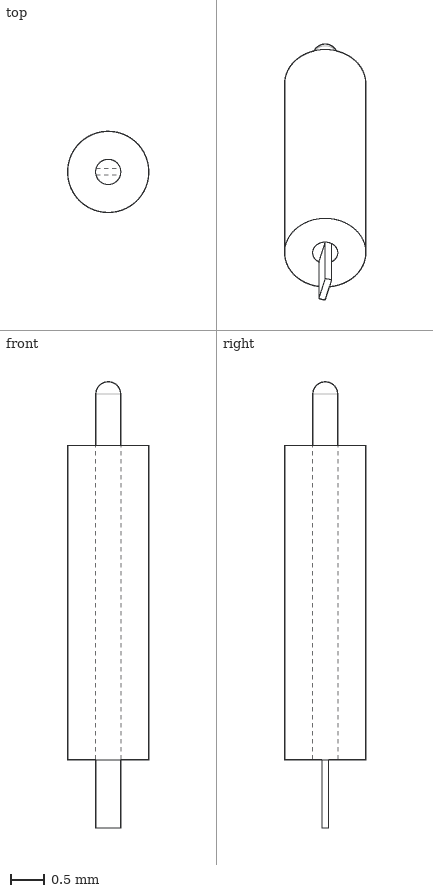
import cadquery as cq
import math

overall_length = 6.74
sleeve_diameter = 1.23
sleeve_length = 4.75
tail_length = 1.03
tail_thickness = 0.10
pin_diameter = 0.38

pin_radius = pin_diameter / 2
pin_bottom = -tail_length
pin_top = overall_length - tail_length
dome_base = pin_top - pin_radius
dome_arc_offset = pin_radius * math.sqrt(0.5)


def make_sleeve():
    """Round insulating sleeve with a through bore for the pin."""
    return (
        cq.Workplane("XY")
        .circle(sleeve_diameter / 2)
        .circle(pin_radius)
        .extrude(sleeve_length)
    )


def make_round_pin():
    """Full-length round pin with a hemispherical upper tip."""
    return (
        cq.Workplane("XZ")
        .moveTo(0, pin_bottom)
        .lineTo(pin_radius, pin_bottom)
        .lineTo(pin_radius, dome_base)
        .threePointArc(
            (dome_arc_offset, dome_base + dome_arc_offset),
            (0, pin_top),
        )
        .close()
        .revolve(360, (0, 0), (0, 1))
    )


def make_tail_cutters():
    """Two blocks that leave flats facing -Y and +Y on the pin below the sleeve."""
    block_depth = pin_radius
    block_center = (tail_thickness + block_depth) / 2
    return (
        cq.Workplane("XY")
        .pushPoints([(0, -block_center), (0, block_center)])
        .rect(2 * pin_diameter, block_depth)
        .extrude(pin_bottom)
    )


sleeve = make_sleeve()
pin = make_round_pin().cut(make_tail_cutters())

result = cq.Compound.makeCompound([sleeve.val(), *pin.solids().vals()])